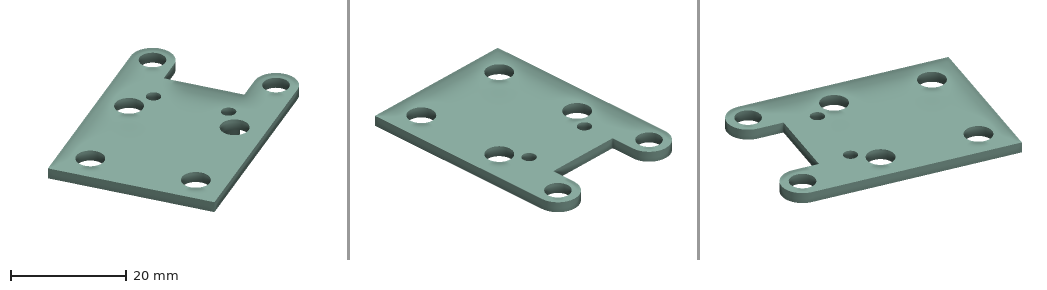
import cadquery as cq

width = 31.0
length = 44.0
thickness = 2.02

lug_width = 8.0
lug_radius = lug_width / 2
lug_center_x = width / 2 - lug_radius
lug_center_y = length - lug_radius
lug_hole_diameter = 4.8
notch_floor_y = 35.05

boss_diameter = 4.0
boss_bore = 2.7
boss_height = 5.0 - thickness
boss_spacing = 14.0
boss_y = 28.8

mount_diameter = 5.2
mount_spacing_x = 19.65
mount_near_y = 5.7
mount_spacing_y = 18.65


def mirrored_pair(x, y):
    """Points on both sides of the plate's centre line."""
    return [(-x, y), (x, y)]


def make_plate():
    half_width = width / 2
    notch_half_width = half_width - lug_width
    return (
        cq.Workplane("XY")
        .moveTo(-half_width, 0)
        .lineTo(half_width, 0)
        .lineTo(half_width, lug_center_y)
        .threePointArc((lug_center_x, length), (notch_half_width, lug_center_y))
        .lineTo(notch_half_width, notch_floor_y)
        .lineTo(-notch_half_width, notch_floor_y)
        .lineTo(-notch_half_width, lug_center_y)
        .threePointArc((-lug_center_x, length), (-half_width, lug_center_y))
        .close()
        .extrude(thickness)
    )


def make_cylinders(points, diameter, bottom, top):
    return (
        cq.Workplane("XY", origin=(0, 0, bottom))
        .pushPoints(points)
        .circle(diameter / 2)
        .extrude(top - bottom)
    )


boss_points = mirrored_pair(boss_spacing / 2, boss_y)
lug_points = mirrored_pair(lug_center_x, lug_center_y)
mount_points = []
for mount_y in (mount_near_y, mount_near_y + mount_spacing_y):
    mount_points += mirrored_pair(mount_spacing_x / 2, mount_y)

result = make_plate().union(make_cylinders(boss_points, boss_diameter, -boss_height, 0))

for points, diameter in (
    (boss_points, boss_bore),
    (lug_points, lug_hole_diameter),
    (mount_points, mount_diameter),
):
    result = result.cut(make_cylinders(points, diameter, -boss_height, thickness))